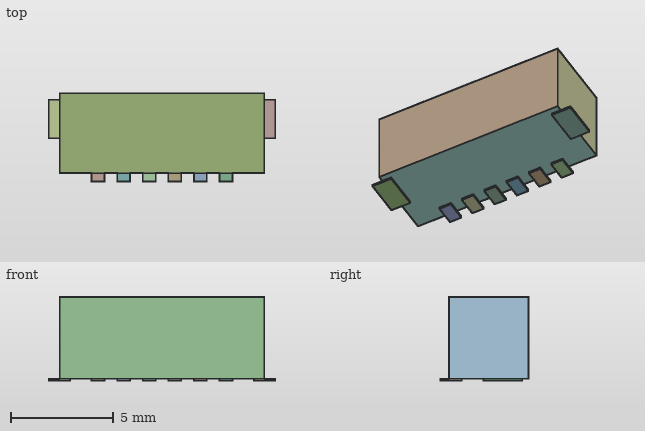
import cadquery as cq

HOUSING_LENGTH = 10.0
HOUSING_WIDTH = 3.9
HOUSING_HEIGHT = 4.0

CONTACT_THICKNESS = 0.1

SIGNAL_COUNT = 6
SIGNAL_PITCH = 1.25
SIGNAL_WIDTH = 0.64
SIGNAL_LENGTH = 1.05
SIGNAL_OVERHANG = 0.42

TAB_LENGTH = 1.05
TAB_WIDTH = 1.9
TAB_OVERHANG = 0.545
TAB_BACK_INSET = 0.31

housing_front = -HOUSING_WIDTH / 2
housing_back = HOUSING_WIDTH / 2
housing_end = HOUSING_LENGTH / 2


def make_strip(length_x, length_y, center_x, center_y):
    """Flat strip resting on Z = 0, its top touching the housing floor."""
    strip = cq.Workplane("XY").box(length_x, length_y, CONTACT_THICKNESS, centered=(True, True, False))
    return strip.translate((center_x, center_y, 0))


def make_housing():
    """Plain block standing on top of the contacts."""
    block = cq.Workplane("XY").box(
        HOUSING_LENGTH, HOUSING_WIDTH, HOUSING_HEIGHT, centered=(True, True, False)
    )
    return block.translate((0, 0, CONTACT_THICKNESS))


def make_signal_contact(index):
    """One contact of the centred row, reaching out past the housing front."""
    center_x = (index - (SIGNAL_COUNT - 1) / 2) * SIGNAL_PITCH
    center_y = housing_front - SIGNAL_OVERHANG + SIGNAL_LENGTH / 2
    return make_strip(SIGNAL_WIDTH, SIGNAL_LENGTH, center_x, center_y)


def make_mounting_tab(side):
    """Wide tab reaching out past one housing end; side is -1 or +1."""
    center_x = side * (housing_end + TAB_OVERHANG - TAB_LENGTH / 2)
    center_y = housing_back - TAB_BACK_INSET - TAB_WIDTH / 2
    return make_strip(TAB_LENGTH, TAB_WIDTH, center_x, center_y)


housing = make_housing()
signal_contacts = [make_signal_contact(index) for index in range(SIGNAL_COUNT)]
mounting_tabs = [make_mounting_tab(side) for side in (-1, 1)]

result = cq.Compound.makeCompound(
    [
        housing.val(),
        *[contact.val() for contact in signal_contacts],
        *[tab.val() for tab in mounting_tabs],
    ]
)